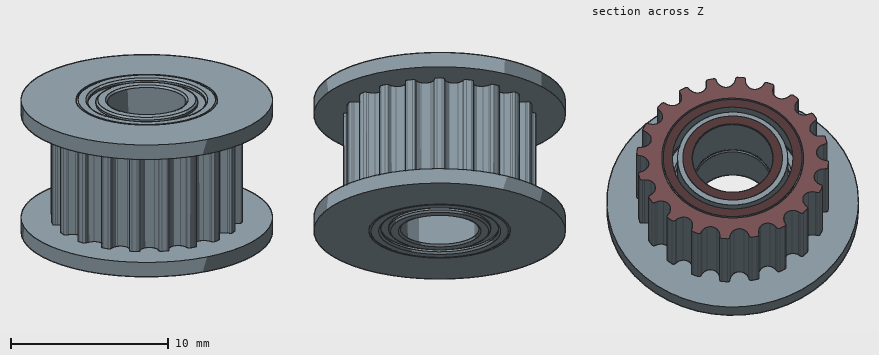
import cadquery as cq
import math

total_height = 9.0
flange_diameter = 16.0
flange_thickness = 1.0
pulley_bore_diameter = 9.0

tooth_count = 20
tip_radius = 6.11
groove_depth = 0.75
groove_floor_radius = 0.55
groove_floor_half_width = 0.32
flank_half_width = 0.58
flank_distance = 5.82
shoulder_half_width = 0.6
shoulder_distance = 5.94
tip_round_radius = 0.15
land_half_angle = 1.6

bearing_bore_diameter = 5.0
bearing_width = 3.0
recess_inner_diameter = 6.5
recess_outer_diameter = 7.5
recess_depth = 0.25
race_chamfer = 0.13

spacer_outer_diameter = 7.0
spacer_bore_diameter = 5.1
spacer_length = total_height - 2 * bearing_width


def on_circle(radius, angle):
    """Point at an angle in degrees, counted counterclockwise from -Y."""
    turn = math.radians(angle)
    return (radius * math.sin(turn), -radius * math.cos(turn))


def in_groove(offset, distance, angle):
    """Point beside the centre line of the groove at the given angle, at a distance along that line."""
    along = on_circle(distance, angle)
    turn = math.radians(angle)
    return (along[0] + offset * math.cos(turn), along[1] + offset * math.sin(turn))


def tooth_outline():
    pitch_angle = 360 / tooth_count
    floor_distance = tip_radius - groove_depth
    floor_rise = groove_floor_radius - math.sqrt(groove_floor_radius**2 - groove_floor_half_width**2)
    floor_end_distance = floor_distance + floor_rise

    floor_end_slope = math.asin(groove_floor_half_width / groove_floor_radius)
    flank_run = flank_half_width - groove_floor_half_width
    flank_climb = flank_distance - floor_end_distance
    flank_turn = math.atan2(flank_climb, flank_run) - floor_end_slope
    flank_radius = math.hypot(flank_run, flank_climb) / (2 * math.sin(flank_turn))

    outline = cq.Workplane("XY").moveTo(*on_circle(tip_radius, -land_half_angle))
    for index in range(tooth_count):
        tooth_angle = index * pitch_angle
        groove_angle = tooth_angle + pitch_angle / 2
        next_land_angle = tooth_angle + pitch_angle - land_half_angle
        land_middle = on_circle(tip_radius, tooth_angle)
        land_end = on_circle(tip_radius, tooth_angle + land_half_angle)
        near_shoulder = in_groove(-shoulder_half_width, shoulder_distance, groove_angle)
        near_flank_top = in_groove(-flank_half_width, flank_distance, groove_angle)
        near_floor_end = in_groove(-groove_floor_half_width, floor_end_distance, groove_angle)
        floor_middle = on_circle(floor_distance, groove_angle)
        far_floor_end = in_groove(groove_floor_half_width, floor_end_distance, groove_angle)
        far_flank_top = in_groove(flank_half_width, flank_distance, groove_angle)
        far_shoulder = in_groove(shoulder_half_width, shoulder_distance, groove_angle)
        outline = (
            outline.threePointArc(land_middle, land_end)
            .radiusArc(near_shoulder, -tip_round_radius)
            .lineTo(*near_flank_top)
            .radiusArc(near_floor_end, flank_radius)
            .threePointArc(floor_middle, far_floor_end)
            .radiusArc(far_flank_top, flank_radius)
            .lineTo(*far_shoulder)
            .radiusArc(on_circle(tip_radius, next_land_angle), -tip_round_radius)
        )
    return outline.close()


def make_pulley():
    pulley = tooth_outline().extrude(total_height)
    for flange_base in (0, total_height - flange_thickness):
        flange = (
            cq.Workplane("XY", origin=(0, 0, flange_base))
            .circle(flange_diameter / 2)
            .extrude(flange_thickness)
        )
        pulley = pulley.union(flange)
    bore = cq.Workplane("XY").circle(pulley_bore_diameter / 2).extrude(total_height)
    return pulley.cut(bore)


def make_bearing(base):
    """Bearing revolved from its half section, which is the same at both end faces."""
    bore_radius = bearing_bore_diameter / 2
    recess_inner = recess_inner_diameter / 2
    recess_outer = recess_outer_diameter / 2
    outer_radius = pulley_bore_diameter / 2
    end_profile = [
        (bore_radius, race_chamfer),
        (bore_radius + race_chamfer, 0),
        (recess_inner - race_chamfer, 0),
        (recess_inner, race_chamfer),
        (recess_inner, recess_depth),
        (recess_outer, recess_depth),
        (recess_outer, race_chamfer),
        (recess_outer + race_chamfer, 0),
        (outer_radius - race_chamfer, 0),
        (outer_radius, race_chamfer),
    ]
    lower_end = [(radius, base + depth) for radius, depth in end_profile]
    upper_end = [(radius, base + bearing_width - depth) for radius, depth in reversed(end_profile)]
    section = cq.Workplane("XZ").polyline(lower_end + upper_end).close()
    return section.revolve(360, (0, 0, 0), (0, 1, 0))


def make_spacer():
    return (
        cq.Workplane("XY", origin=(0, 0, bearing_width))
        .circle(spacer_outer_diameter / 2)
        .circle(spacer_bore_diameter / 2)
        .extrude(spacer_length)
    )


pulley = make_pulley()
bearings = [make_bearing(base) for base in (0, total_height - bearing_width)]
spacer = make_spacer()

result = cq.Compound.makeCompound(
    [pulley.val(), *[bearing.val() for bearing in bearings], spacer.val()]
)